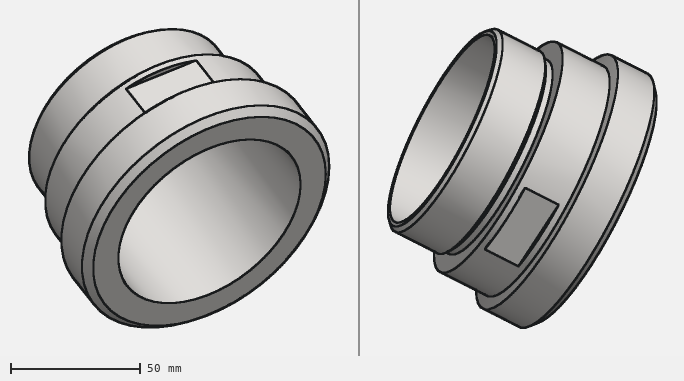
import cadquery as cq

total_length = 66.0
bore_dia = 81.0

spigot_dia = 87.8
spigot_tip_dia = 84.4
groove_dia = 84.2
groove_taper_length = 1.4
groove_floor_start = 22.1

body_dia = 99.8
body_start = 25.0
flat_distance = 94.8
flat_length = 15.0
flat_offset = 3.0

flange_dia = 110.0
flange_start = 46.0
flange_face_rise = 0.75
flange_chamfer_length = 3.0
flange_chamfer_depth = 3.3


def make_sleeve():
    """Revolve the half section, written as (X, radius) points, about the X axis."""
    bore_r = bore_dia / 2
    tip_r = spigot_tip_dia / 2
    spigot_r = spigot_dia / 2
    groove_r = groove_dia / 2
    body_r = body_dia / 2
    flange_r = flange_dia / 2

    tip_chamfer = spigot_r - tip_r

    section = [
        (0, bore_r),
        (0, tip_r),
        (tip_chamfer, spigot_r),
        (groove_floor_start - groove_taper_length, spigot_r),
        (groove_floor_start, groove_r),
        (body_start, groove_r),
        (body_start, body_r),
        (flange_start, body_r),
        (flange_start + flange_face_rise, flange_r),
        (total_length - flange_chamfer_length, flange_r),
        (total_length, flange_r - flange_chamfer_depth),
        (total_length, bore_r),
    ]
    return cq.Workplane("XY").polyline(section).close().revolve(360, (0, 0, 0), (1, 0, 0))


def make_flat_cutter(side):
    """Block that mills one wrench flat; side is +1 for the top and -1 for the bottom."""
    cut_depth = (body_dia - flat_distance) / 2
    center_x = body_start + flat_offset + flat_length / 2
    center_z = side * (flat_distance + cut_depth) / 2
    return cq.Workplane("XY").box(flat_length, body_dia, cut_depth).translate((center_x, 0, center_z))


result = make_sleeve()
for side in (1, -1):
    result = result.cut(make_flat_cutter(side))